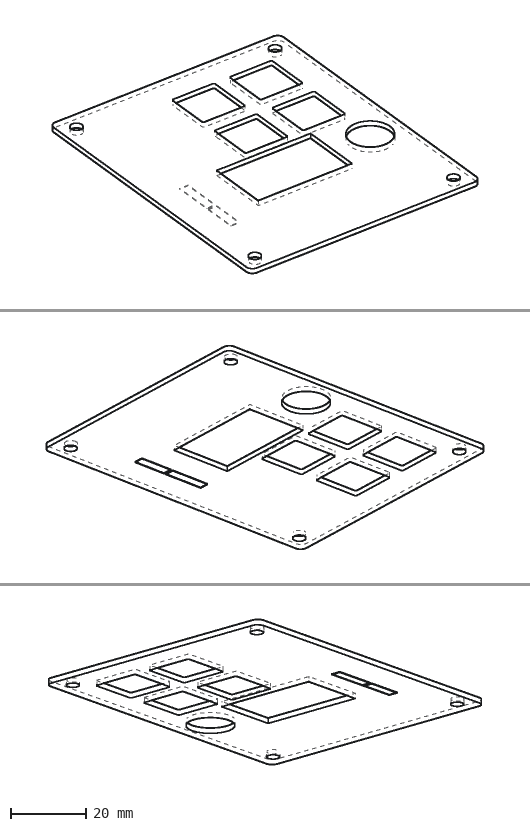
import cadquery as cq

plate_length = 90.4
plate_width = 76.15
plate_thickness = 1.5
corner_radius = 2.0

mount_hole_diameter = 3.5
mount_hole_inset = 5.2

key_size = 14.0
key_pitch = 19.1
key_columns = 2
key_rows = 2
key_corner_radius = 0.45
key_grid_center = (-19.2, 12.0)

knob_diameter = 13.0
knob_center = (9.4, 27.95)

window_length = 18.6
window_width = 31.1
window_center = (9.0, -0.3)

pad_height = 0.2
pad_width = 2.8
pad_center_y = -26.2
pads_left = -1.0
pad_gap = 0.6
left_pad_length = 12.2
right_pad_length = 10.1


def make_plate():
    """Flat plate with rounded vertical corners."""
    plate = cq.Workplane("XY").rect(plate_length, plate_width).extrude(plate_thickness)
    return plate.edges("|Z").fillet(corner_radius)


def mount_hole_cutter():
    """Four cylinders, each set in equally from two edges of the plate."""
    spacing_x = plate_length - 2 * mount_hole_inset
    spacing_y = plate_width - 2 * mount_hole_inset
    return (
        cq.Workplane("XY")
        .rect(spacing_x, spacing_y, forConstruction=True)
        .vertices()
        .circle(mount_hole_diameter / 2)
        .extrude(plate_thickness)
    )


def key_cutter():
    """Grid of square blocks with slightly rounded corners."""
    return (
        cq.Workplane("XY")
        .center(*key_grid_center)
        .rarray(key_pitch, key_pitch, key_columns, key_rows)
        .rect(key_size, key_size)
        .extrude(plate_thickness)
        .edges("|Z")
        .fillet(key_corner_radius)
    )


def knob_cutter():
    """Cylinder for the round opening."""
    return cq.Workplane("XY").center(*knob_center).circle(knob_diameter / 2).extrude(plate_thickness)


def window_cutter():
    """Sharp-cornered block for the rectangular window."""
    return (
        cq.Workplane("XY")
        .center(*window_center)
        .rect(window_length, window_width)
        .extrude(plate_thickness)
    )


def make_pad(left, length):
    """Low rectangular pad that hangs below the plate, starting at X = left."""
    return (
        cq.Workplane("XY")
        .center(left + length / 2, pad_center_y)
        .rect(length, pad_width)
        .extrude(-pad_height)
    )


result = make_plate()
for cutter in (mount_hole_cutter(), key_cutter(), knob_cutter(), window_cutter()):
    result = result.cut(cutter)

right_pad_left = pads_left + left_pad_length + pad_gap
for left, length in ((pads_left, left_pad_length), (right_pad_left, right_pad_length)):
    result = result.union(make_pad(left, length))